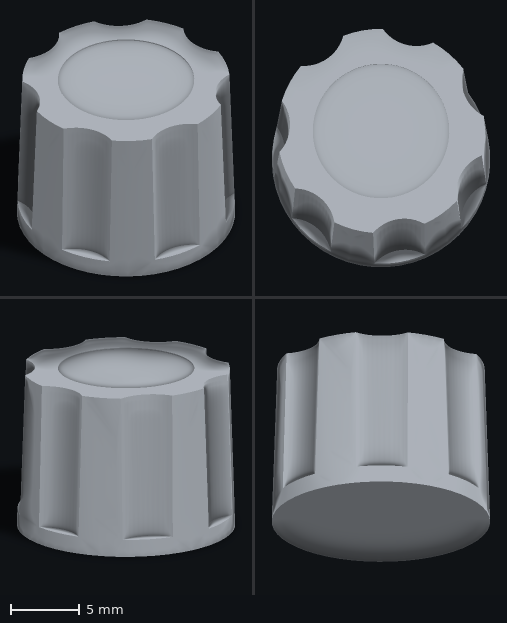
import cadquery as cq

height = 12.0
base_radius = 8.0
top_radius = 7.6

flute_count = 7
skirt_height = 1.28
flute_radius = 3.0
flute_floor_bottom = 7.07
flute_floor_top = 6.67

recess_diameter = 10.0
recess_depth = 0.1


def make_body():
    """Cone frustum standing on the XY plane."""
    return (
        cq.Workplane("XY")
        .circle(base_radius)
        .workplane(offset=height)
        .circle(top_radius)
        .loft(ruled=True)
    )


def make_flute_cutter():
    """Round cutter on the +X side, leaning inward with the body taper."""
    return (
        cq.Workplane("XY", origin=(0, 0, skirt_height))
        .center(flute_floor_bottom + flute_radius, 0)
        .circle(flute_radius)
        .workplane(offset=height - skirt_height)
        .center(flute_floor_top - flute_floor_bottom, 0)
        .circle(flute_radius)
        .loft(ruled=True)
    )


def cut_flutes(body):
    cutter = make_flute_cutter()
    for index in range(flute_count):
        angle = index * 360.0 / flute_count
        body = body.cut(cutter.rotate((0, 0, 0), (0, 0, 1), angle))
    return body


def cut_recess(body):
    recess = (
        cq.Workplane("XY", origin=(0, 0, height - recess_depth))
        .circle(recess_diameter / 2)
        .extrude(recess_depth)
    )
    return body.cut(recess)


result = cut_recess(cut_flutes(make_body()))